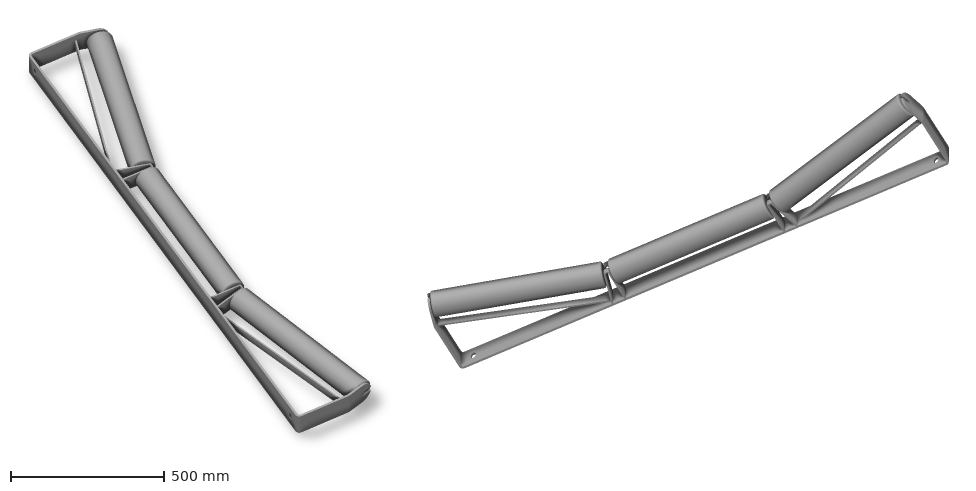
import cadquery as cq
import math


frame_length = 1800.0
strip_width = 81.0
strip_thickness = 8.0
corner_radius = 15.0
bend_height = 193.0
bend_radius = 27.0
mount_hole_x = 851.0
mount_hole_width = 16.0
mount_hole_height = 27.0
frame_slot_z = 38.0

drum_diameter = 88.0
drum_length = 572.0
drum_rounding = 5.0
shaft_diameter = 13.0
slot_width = 16.0
end_gap = 4.0
center_roller_y = 103.0
wing_angle = 15.0
wing_center_x = 595.0
wing_center_y = 180.0
outer_axis_z = 36.0
tip_overhang = 35.0

bracket_thickness = 5.0
bracket_width = 60.0
bracket_height = 130.0
bracket_radius = 5.0

strut_thickness = 5.0
strut_width = 30.0
strut_angle = 17.5
strut_foot_x = 347.0

half_length = frame_length / 2
incline = math.radians(wing_angle)
inner_axis_z = bracket_width / 2
wing_center_z = (outer_axis_z + inner_axis_z) / 2
wing_tilt = math.degrees(math.asin((outer_axis_z - inner_axis_z) / drum_length))
bracket_face = drum_length / 2 + end_gap
shaft_length = 2 * (bracket_face + bracket_thickness)
bend_distance_x = half_length - wing_center_x
bend_rise_y = bend_height - wing_center_y
bend_drop = bend_distance_x * math.sin(incline) - bend_rise_y * math.cos(incline)
tip_length = bend_drop + tip_overhang


def mirror_x(body):
    return body.mirror("YZ")


def place_on_wing(body):
    """Turn a body made along a level roller axis at Y = 0 onto the left wing axis."""
    inclined = body.rotate((0, 0, 0), (0, 0, 1), -wing_angle)
    return inclined.translate((-wing_center_x, wing_center_y, 0))


def cylinder_x(diameter, length):
    """Cylinder along X, centred on the origin."""
    return cq.Workplane("YZ", origin=(-length / 2, 0, 0)).circle(diameter / 2).extrude(length)


def open_slot(center_x, length):
    """Cutter through a plate: a slot around the X axis, round at the bottom and open towards +Y."""
    straight = cq.Workplane("XY").box(length, strip_width, slot_width, centered=(True, False, True))
    return cylinder_x(slot_width, length).union(straight).translate((center_x, 0, 0))


def round_bend(strip, corner, radius):
    """Round the upright edges of a strip at a corner (x, y) and at its mirror image (-x, y)."""
    x, y = corner
    for edge_x in (x, -x):
        edge = cq.selectors.NearestToPointSelector((edge_x, y, strip_width / 2))
        strip = strip.edges(edge).fillet(radius)
    return strip


def frame_strip():
    """The bent strip with square tips."""
    t = strip_thickness
    tip_x = -half_length + tip_length * math.sin(incline)
    tip_y = bend_height + tip_length * math.cos(incline)
    outer_tip = (tip_x, tip_y)
    outer_bend = (-half_length, bend_height)
    outer_corner = (-half_length, 0)
    inner_corner = (-half_length + t, t)
    inner_bend = (-half_length + t, bend_height - t * math.tan(incline / 2))
    inner_tip = (tip_x + t * math.cos(incline), tip_y - t * math.sin(incline))

    left_outer = [outer_tip, outer_bend, outer_corner]
    left_inner = [inner_corner, inner_bend, inner_tip]
    right_outer = [(-x, y) for x, y in reversed(left_outer)]
    right_inner = [(-x, y) for x, y in reversed(left_inner)]
    outline = left_outer + right_outer + right_inner + left_inner
    strip = cq.Workplane("XY").polyline(outline).close().extrude(strip_width)

    strip = round_bend(strip, outer_corner, corner_radius)
    strip = round_bend(strip, inner_corner, corner_radius - t)
    strip = round_bend(strip, outer_bend, bend_radius)
    return round_bend(strip, inner_bend, bend_radius - t)


def tip_notch():
    """Cutter for the left tip: the corners outside its half circle, and the shaft slot."""
    radius = strip_width / 2
    depth = 4 * strip_thickness
    block = cq.Workplane("XY").box(depth, 2 * radius, 2 * strip_width, centered=(True, False, True))
    corners = block.cut(cylinder_x(strip_width, depth))
    corners = corners.translate((-bracket_face, tip_overhang - radius, radius))
    slot = open_slot(-bracket_face, depth).translate((0, 0, frame_slot_z))
    return place_on_wing(corners.union(slot))


def make_frame():
    mount_holes = (
        cq.Workplane("XZ", origin=(0, strip_thickness, strip_width / 2))
        .pushPoints([(-mount_hole_x, 0), (mount_hole_x, 0)])
        .slot2D(mount_hole_height, mount_hole_width, 90)
        .extrude(strip_thickness)
    )
    notch = tip_notch()
    return frame_strip().cut(mount_holes).cut(notch).cut(mirror_x(notch))


def make_roller():
    """Roller along X, centred on the origin."""
    drum = cylinder_x(drum_diameter, drum_length).edges().fillet(drum_rounding)
    return drum.union(cylinder_x(shaft_diameter, shaft_length))


def make_center_roller():
    return make_roller().translate((0, center_roller_y, inner_axis_z))


def make_wing_roller():
    """Left wing roller, its outer end slightly higher in Z than its inner end."""
    tilted = make_roller().rotate((0, 0, 0), (0, 1, 0), wing_tilt)
    return place_on_wing(tilted.translate((0, 0, wing_center_z)))


def make_bracket():
    """Left bracket: one leg square to the wing axis, a flat top and one upright leg."""
    face_x = -wing_center_x + bracket_face * math.cos(incline)
    face_y = wing_center_y - bracket_face * math.sin(incline)
    foot_y = strip_thickness
    top_y = bracket_height
    under_y = top_y - bracket_thickness
    upright_outer = -bracket_face
    upright_inner = upright_outer - bracket_thickness

    def leaning_outer(y):
        return (face_x + (y - face_y) * math.tan(incline), y)

    def leaning_inner(y):
        return (leaning_outer(y)[0] + bracket_thickness / math.cos(incline), y)

    outline = [
        leaning_outer(foot_y),
        leaning_outer(top_y),
        (upright_outer, top_y),
        (upright_outer, foot_y),
        (upright_inner, foot_y),
        (upright_inner, under_y),
        leaning_inner(under_y),
        leaning_inner(foot_y),
    ]
    strip = cq.Workplane("XY").polyline(outline).close().extrude(bracket_width)
    strip = strip.edges("|Z and >Y").fillet(bracket_radius)

    slot_length = 3 * bracket_thickness
    slot_x = bracket_face + bracket_thickness / 2
    center_slot = open_slot(-slot_x, slot_length).translate((0, center_roller_y, inner_axis_z))
    wing_slot = place_on_wing(open_slot(slot_x, slot_length).translate((0, 0, inner_axis_z)))
    return strip.cut(center_slot).cut(wing_slot)


def make_strut():
    """Left strut, from the top of the bar up to the inside of the frame end."""
    angle = math.radians(strut_angle)
    foot_y = strip_thickness
    head_x = -half_length + strip_thickness
    head_y = foot_y + (-strut_foot_x - head_x) * math.tan(angle)
    outline = [
        (-strut_foot_x, foot_y),
        (head_x, head_y),
        (head_x, head_y - strut_thickness / math.cos(angle)),
        (-strut_foot_x - strut_thickness / math.sin(angle), foot_y),
    ]
    base_z = (strip_width - strut_width) / 2
    return cq.Workplane("XY", origin=(0, 0, base_z)).polyline(outline).close().extrude(strut_width)


bodies = [make_frame(), make_center_roller()]
for make_left in (make_wing_roller, make_bracket, make_strut):
    left = make_left()
    bodies.append(left)
    bodies.append(mirror_x(left))

result = cq.Compound.makeCompound([body.solids().val() for body in bodies])